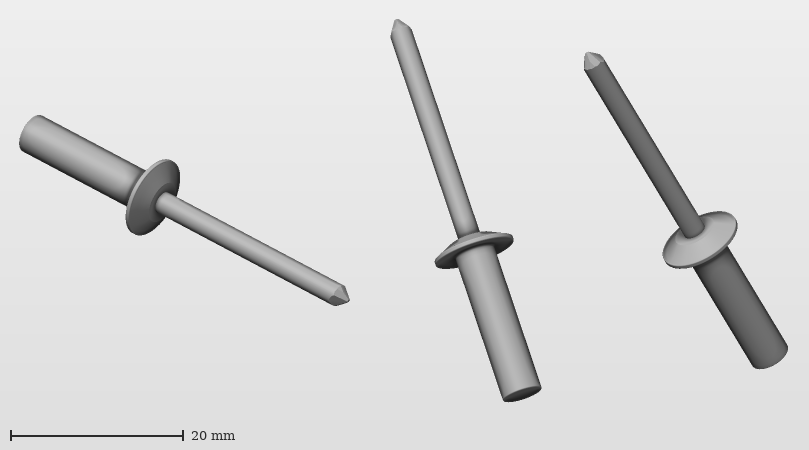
import cadquery as cq

length = 47.25

sleeve_radius = 4.75 / 2
end_round = 0.15

flange_radius = 9.55 / 2
flange_start = 17.8
rim_width = 0.55
rim_round = 0.15
flange_end = 19.5
flange_face_radius = 2.5
root_round = 0.25
underside_recess = 0.15

mandrel_radius = 2.65 / 2
mandrel_start = 17.9

side_flat_length = 1.85
side_flat_tip = 0.25
slant_flat_length = 1.45
slant_flat_tip = 0.165
slant_angle = 60.0
top_flat_length = 1.45
top_flat_tip = 0.4
top_angle = 90.0


def make_sleeve():
    """Closed-end sleeve with a conical flange and a blind bore for the mandrel."""
    root_x = flange_start + underside_recess
    rim_end = flange_start + rim_width
    body = (
        cq.Workplane("XY")
        .moveTo(0, 0)
        .lineTo(0, sleeve_radius - end_round)
        .radiusArc((end_round, sleeve_radius), end_round)
        .lineTo(root_x - root_round, sleeve_radius)
        .radiusArc((root_x, sleeve_radius + root_round), -root_round)
        .lineTo(flange_start, flange_radius - rim_round)
        .radiusArc((flange_start + rim_round, flange_radius), rim_round)
        .lineTo(rim_end - rim_round, flange_radius)
        .radiusArc((rim_end, flange_radius - rim_round), rim_round)
        .lineTo(flange_end, flange_face_radius)
        .lineTo(flange_end, 0)
        .close()
        .revolve(360, (0, 0, 0), (1, 0, 0))
    )
    bore = (
        cq.Workplane("YZ", origin=(mandrel_start, 0, 0))
        .circle(mandrel_radius)
        .extrude(flange_end - mandrel_start)
    )
    return body.cut(bore)


def make_flat_pair(flat_length, tip_half_width, angle):
    """Slab whose two opposite faces taper toward the tip, turned about X."""
    taper_start = length - flat_length
    slab = (
        cq.Workplane("XY")
        .polyline([
            (mandrel_start, -mandrel_radius),
            (taper_start, -mandrel_radius),
            (length, -tip_half_width),
            (length, tip_half_width),
            (taper_start, mandrel_radius),
            (mandrel_start, mandrel_radius),
        ])
        .close()
        .extrude(2 * mandrel_radius, both=True)
    )
    return slab.rotate((0, 0, 0), (1, 0, 0), angle)


def make_mandrel():
    """Round pin with a faceted point, pinched narrow at its end."""
    pin = (
        cq.Workplane("YZ", origin=(mandrel_start, 0, 0))
        .circle(mandrel_radius)
        .extrude(length - mandrel_start)
    )
    pin = pin.intersect(make_flat_pair(side_flat_length, side_flat_tip, 0))
    pin = pin.intersect(make_flat_pair(top_flat_length, top_flat_tip, top_angle))
    for angle in (slant_angle, -slant_angle):
        pin = pin.intersect(make_flat_pair(slant_flat_length, slant_flat_tip, angle))
    return pin


sleeve = make_sleeve()
mandrel = make_mandrel()
result = cq.Compound.makeCompound([sleeve.val(), mandrel.val()])